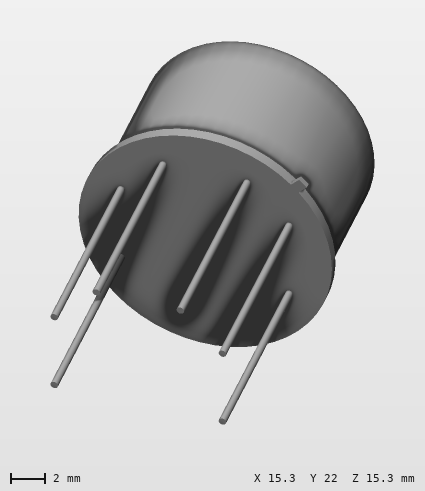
import cadquery as cq


header_diameter = 15.3
header_thickness = 0.65

tab_angle = 45.0
tab_width = 0.65
tab_reach = 0.7
tab_thickness = header_thickness / 2

package_height = 10.0
can_diameter = 14.0
can_edge_radius = 0.5

lead_pitch = 2.54
lead_diameter = 0.45
lead_length = 12.0
lead_positions = [
    (side * column * lead_pitch, row * lead_pitch)
    for side in (-1, 1)
    for column, row in ((2, -1), (2, 1), (1, 2))
]


def make_cylinder(diameter, y_start, y_end, x=0.0, z=0.0):
    """Cylinder along Y between two Y levels."""
    base = cq.Workplane(cq.Plane((x, y_start, z), xDir=(0, 0, 1), normal=(0, 1, 0)))
    return base.circle(diameter / 2).extrude(y_end - y_start)


def make_tab():
    """Radial tab running from the header axis to beyond the rim."""
    length = header_diameter / 2 + tab_reach
    tab = cq.Workplane("XY").box(length, tab_thickness, tab_width, centered=(False, False, True))
    return tab.rotate((0, 0, 0), (0, -1, 0), tab_angle)


def make_header():
    """Header disc in one piece with its index tab and leads."""
    body = make_cylinder(header_diameter, 0.0, header_thickness).union(make_tab())
    for x, z in lead_positions:
        body = body.union(make_cylinder(lead_diameter, -lead_length, header_thickness, x, z))
    return body


def make_can():
    """Can standing on the header, with its closed end rounded over."""
    body = make_cylinder(can_diameter, header_thickness, package_height)
    return body.faces(">Y").edges().fillet(can_edge_radius)


header = make_header()
can = make_can()

result = cq.Compound.makeCompound([header.solids().val(), can.solids().val()])